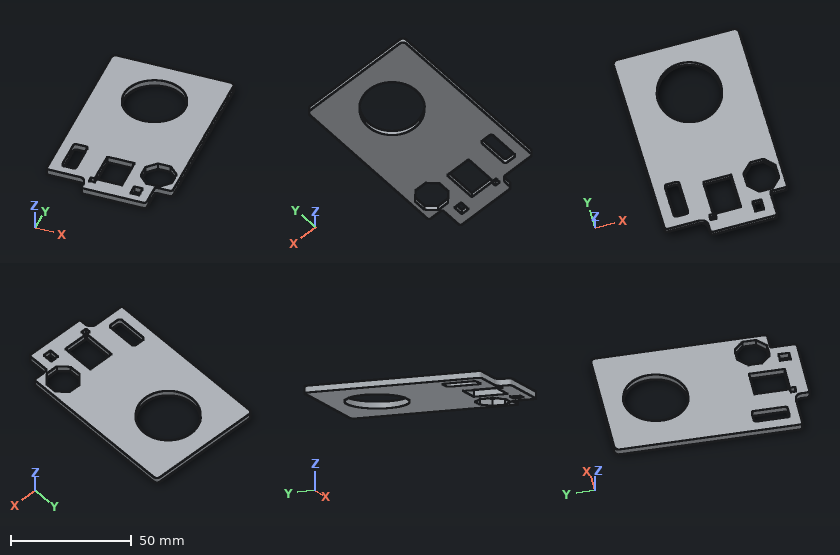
import cadquery as cq
import math

width = 54.0
length = 85.5
thickness = 3.0

tab_left = 17.8
tab_right = 46.5
left_step_height = 6.4
right_step_height = 11.0

top_corner_radius = 2.0
lower_corner_radius = 1.1
left_root_radius = 2.9
right_root_radius = 0.5

round_diameter = 26.9
round_x = 26.8
round_y = 63.2

slot_width = 6.1
slot_length = 15.0
slot_left = 5.3
slot_top = 25.8
slot_corner_radius = 1.0

octagon_across_flats = 13.6
octagon_left = 38.2

window_width = 11.9
window_length = 15.0
window_left = 21.1
window_bottom = 7.7
notch_width = 2.5
notch_depth = 2.2
notch_left = 19.4

small_hole_width = 3.7
small_hole_length = 4.45
small_hole_bottom = 4.1


def block(left, bottom, size_x, size_y):
    """Full-thickness block placed by its lower left corner."""
    return cq.Workplane("XY").box(size_x, size_y, thickness, centered=False).translate((left, bottom, 0))


def round_corners(body, corners, radius):
    """Round the vertical edges that stand at the given corners."""
    for x, y in corners:
        edge = cq.selectors.NearestToPointSelector((x, y, thickness / 2))
        body = body.edges("|Z").edges(edge).fillet(radius)
    return body


def make_plate():
    plate = block(0, 0, width, length)
    plate = plate.cut(block(0, 0, tab_left, left_step_height))
    plate = plate.cut(block(tab_right, 0, width - tab_right, right_step_height))
    top_corners = [(0, length), (width, length)]
    lower_corners = [
        (0, left_step_height),
        (tab_left, 0),
        (tab_right, 0),
        (width, right_step_height),
    ]
    plate = round_corners(plate, top_corners, top_corner_radius)
    plate = round_corners(plate, lower_corners, lower_corner_radius)
    plate = round_corners(plate, [(tab_left, left_step_height)], left_root_radius)
    return round_corners(plate, [(tab_right, right_step_height)], right_root_radius)


def make_round_opening():
    return cq.Workplane("XY").center(round_x, round_y).circle(round_diameter / 2).extrude(thickness)


def make_slot():
    slot = block(slot_left, slot_top - slot_length, slot_width, slot_length)
    return slot.edges("|Z").fillet(slot_corner_radius)


def make_octagon():
    corner_cut = octagon_across_flats * (1 - math.tan(math.pi / 8)) / 2
    bottom = slot_top - octagon_across_flats
    square = block(octagon_left, bottom, octagon_across_flats, octagon_across_flats)
    return square.edges("|Z").chamfer(corner_cut)


def make_window():
    window = block(window_left, window_bottom, window_width, window_length)
    notch = block(notch_left, window_bottom - notch_depth, notch_width, notch_depth)
    return window.union(notch)


def make_small_hole():
    return block(octagon_left, small_hole_bottom, small_hole_width, small_hole_length)


result = make_plate()
for opening in (make_round_opening(), make_slot(), make_octagon(), make_window(), make_small_hole()):
    result = result.cut(opening)